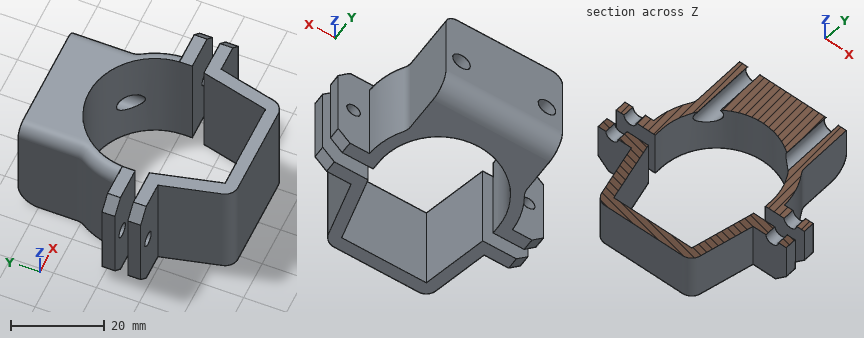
import cadquery as cq
import math

width = 52.8
height = 25.0
wall = 3.0
gap = 3.0

flange_hole_diameter = 3.45
flange_hole_x = 22.45

bore_radius = 15.4
bore_center_y = 2.05
block_half_width = 15.0
block_back_y = 27.5
bottom_edge_radius = 5.0
mount_hole_diameter = 4.5
mount_hole_x = 11.0
mount_hole_z = height - 14.0

strap_depth = 19.0
strap_mouth_half_width = 14.7
strap_floor_half_width = 10.85


def holes_along_y(diameter, x_offset, z, y_start, y_end):
    """Pair of mirrored cylinders running from y_start to y_end."""
    return (
        cq.Workplane("XZ", origin=(0, y_start, z))
        .pushPoints([(-x_offset, 0), (x_offset, 0)])
        .circle(diameter / 2)
        .extrude(y_start - y_end)
    )


def make_flange(y_front):
    """Full-width plate with chamfered corners."""
    return (
        cq.Workplane("XY")
        .box(width, wall, height, centered=(True, False, False))
        .translate((0, y_front, 0))
        .edges("|Y")
        .chamfer(wall)
    )


def make_bracket_shell():
    """Solid block blending into a round wall, with a rounded top rim."""
    outer_radius = bore_radius + wall
    blend_x = block_half_width + wall
    blend_rise = math.sqrt((outer_radius + wall) ** 2 - blend_x ** 2)
    blend_end_y = bore_center_y + blend_rise
    share = outer_radius / (outer_radius + wall)
    meet_x = blend_x * share
    meet_y = bore_center_y + blend_rise * share
    half_turn = math.atan2(blend_rise, blend_x) / 2
    middle_x = blend_x - wall * math.cos(half_turn)
    middle_y = blend_end_y - wall * math.sin(half_turn)
    wall_x = outer_radius * math.cos(half_turn)
    wall_y = bore_center_y + outer_radius * math.sin(half_turn)

    shell = (
        cq.Workplane("XY")
        .moveTo(-outer_radius, bore_center_y)
        .threePointArc((-wall_x, wall_y), (-meet_x, meet_y))
        .threePointArc((-middle_x, middle_y), (-block_half_width, blend_end_y))
        .lineTo(-block_half_width, block_back_y)
        .lineTo(block_half_width, block_back_y)
        .lineTo(block_half_width, blend_end_y)
        .threePointArc((middle_x, middle_y), (meet_x, meet_y))
        .threePointArc((wall_x, wall_y), (outer_radius, bore_center_y))
        .close()
        .extrude(height)
    )
    top_rim = [
        cq.NearestToPointSelector((side * block_half_width, (blend_end_y + block_back_y) / 2, height))
        for side in (-1, 1)
    ]
    for rim in top_rim:
        shell = shell.edges(rim).fillet(wall)
    return shell.faces("<Z").edges(">Y").fillet(bottom_edge_radius)


def make_bracket():
    bracket = make_bracket_shell().union(make_flange(0))
    bore = cq.Workplane("XY").center(0, bore_center_y).circle(bore_radius).extrude(height)
    mouth = cq.Workplane("XY").box(
        2 * bore_radius, 2 * bore_center_y, height, centered=(True, True, False)
    )
    return (
        bracket.cut(bore)
        .cut(mouth)
        .cut(holes_along_y(flange_hole_diameter, flange_hole_x, height / 2, 0, wall))
        .cut(holes_along_y(mount_hole_diameter, mount_hole_x, mount_hole_z, 0, block_back_y))
    )


def make_strap():
    """Tapered U-shaped strap of constant wall thickness with two flanges."""
    mouth_y = -gap
    back_y = mouth_y - strap_depth
    floor_y = back_y + wall
    taper = (strap_mouth_half_width - strap_floor_half_width) / (mouth_y - floor_y)
    slant_wall = wall * math.sqrt(1 + taper ** 2)
    outer_mouth = strap_mouth_half_width + slant_wall
    outer_back = outer_mouth - taper * strap_depth

    body = (
        cq.Workplane("XY")
        .polyline([
            (-outer_mouth, mouth_y), (-outer_back, back_y),
            (outer_back, back_y), (outer_mouth, mouth_y),
        ])
        .close()
        .extrude(height)
        .edges("|Z and <Y")
        .fillet(wall)
    )
    opening = (
        cq.Workplane("XY")
        .polyline([
            (-strap_mouth_half_width, mouth_y), (-strap_floor_half_width, floor_y),
            (strap_floor_half_width, floor_y), (strap_mouth_half_width, mouth_y),
        ])
        .close()
        .extrude(height)
    )
    flange_front_y = mouth_y - wall
    return (
        body.union(make_flange(flange_front_y))
        .cut(opening)
        .cut(holes_along_y(flange_hole_diameter, flange_hole_x, height / 2, flange_front_y, mouth_y))
    )


bracket = make_bracket()
strap = make_strap()
result = cq.Compound.makeCompound([bracket.val(), strap.val()])